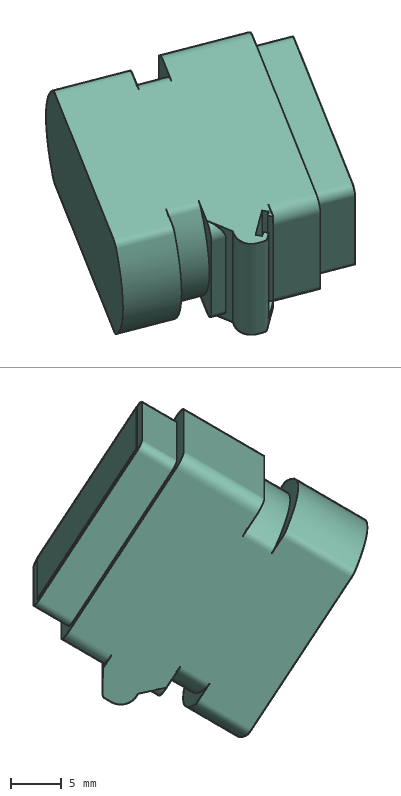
import cadquery as cq
import math

overall_width = 26.55
height = 15.0
half_height = height / 2

cap_radius = 12.4
core_radius = 10.85
edge_fillet = 1.0
groove_width = 3.37
groove_start_left = 8.02
groove_start_right = 6.05
groove_end_left = groove_start_left + groove_width
groove_end_right = groove_start_right + groove_width

body_half_width = 11.5
body_fillet = 1.51
body_rear = 20.7

rear_half_width = 10.17
rear_height = 12.95
rear_face = 24.75
panel_half_width = 9.3
panel_height = 12.0
overall_depth = 24.85

latch_tip = overall_width - cap_radius
latch_root = body_half_width - body_fillet
latch_top = 15.82
latch_underside = 11.47
latch_slope = 30.0
latch_tip_fillet = 0.5
latch_lower_fillet = 1.8

slot_neck_width = 2.05
slot_neck_depth = 0.55
slot_wide_width = 3.08
slot_depth = 1.22
slot_centre = 1.05
slot_floor_thickness = 1.0


def rounded_block(half_width, block_height, fillet, y_start, y_end):
    """Block along Y with its four long edges rounded."""
    block = cq.Workplane("XY").box(2 * half_width, y_end - y_start, block_height)
    if fillet:
        block = block.edges("|Y").fillet(fillet)
    return block.translate((0, (y_start + y_end) / 2, 0))


def round_sided_block(radius, y_start, y_end):
    """Cylinder along Y, cut flat at top and bottom, with the resulting edges rounded."""
    flat_half_width = math.sqrt(radius**2 - half_height**2)
    return (
        cq.Workplane("XZ", origin=(0, y_start, 0))
        .moveTo(-flat_half_width, half_height)
        .lineTo(flat_half_width, half_height)
        .threePointArc((radius, 0), (flat_half_width, -half_height))
        .lineTo(-flat_half_width, -half_height)
        .threePointArc((-radius, 0), (-flat_half_width, half_height))
        .close()
        .extrude(y_start - y_end)
        .edges("|Y")
        .fillet(edge_fillet)
    )


def one_side(solid, sign):
    """Half of a solid on the +X (sign 1) or -X (sign -1) side."""
    half_size = 2 * cap_radius
    keep = cq.Workplane("XY").box(half_size, 4 * overall_depth, 2 * height)
    return solid.intersect(keep.translate((sign * half_size / 2, 0, 0)))


def stepped_half(sign, groove_start, groove_end):
    """Cap, grooved core and body on one side; the two grooves sit at different depths."""
    cap = round_sided_block(cap_radius, 0, groove_start)
    core = round_sided_block(core_radius, groove_start, groove_end)
    body = rounded_block(body_half_width, height, body_fillet, groove_end, body_rear)
    return one_side(cap.union(core).union(body), sign)


def latch():
    """Full-height hook on the +X side, before its slot is cut."""
    slope_drop = (latch_tip - body_half_width) * math.tan(math.radians(latch_slope))
    tip_top = latch_top - slope_drop
    ramp_end = latch_root + latch_underside - groove_end_right
    hook = (
        cq.Workplane("XY", origin=(0, 0, -half_height))
        .polyline([
            (0, groove_end_right),
            (latch_root, groove_end_right),
            (ramp_end, latch_underside),
            (latch_tip, latch_underside),
            (latch_tip, tip_top),
            (body_half_width, latch_top),
            (0, latch_top),
        ])
        .close()
        .extrude(height)
    )
    hook = hook.edges(cq.selectors.NearestToPointSelector((latch_tip, tip_top, 0)))
    hook = hook.fillet(latch_tip_fillet)
    hook = hook.edges(cq.selectors.NearestToPointSelector((latch_tip, latch_underside, 0)))
    return hook.fillet(latch_lower_fillet)


def latch_slot():
    """T-shaped cutter, drawn flat and turned to follow the slope of the latch."""
    neck = slot_neck_width / 2
    wide = slot_wide_width / 2
    slot = (
        cq.Workplane("XY")
        .polyline([
            (slot_centre - neck, 0),
            (slot_centre - neck, -slot_neck_depth),
            (slot_centre - wide, -slot_neck_depth),
            (slot_centre - wide, -slot_depth),
            (slot_centre + wide, -slot_depth),
            (slot_centre + wide, -slot_neck_depth),
            (slot_centre + neck, -slot_neck_depth),
            (slot_centre + neck, 0),
        ])
        .close()
        .extrude(height - slot_floor_thickness)
    )
    slot = slot.rotate((0, 0, 0), (0, 0, 1), -latch_slope)
    return slot.translate((body_half_width, latch_top, slot_floor_thickness - half_height))


left_half = stepped_half(-1, groove_start_left, groove_end_left)
right_half = stepped_half(1, groove_start_right, groove_end_right)
rear_block = rounded_block(rear_half_width, rear_height, edge_fillet, body_rear, rear_face)
rear_panel = rounded_block(panel_half_width, panel_height, 0, rear_face, overall_depth)

result = (
    left_half.union(right_half)
    .union(rear_block)
    .union(rear_panel)
    .union(latch())
    .cut(latch_slot())
    .clean()
)